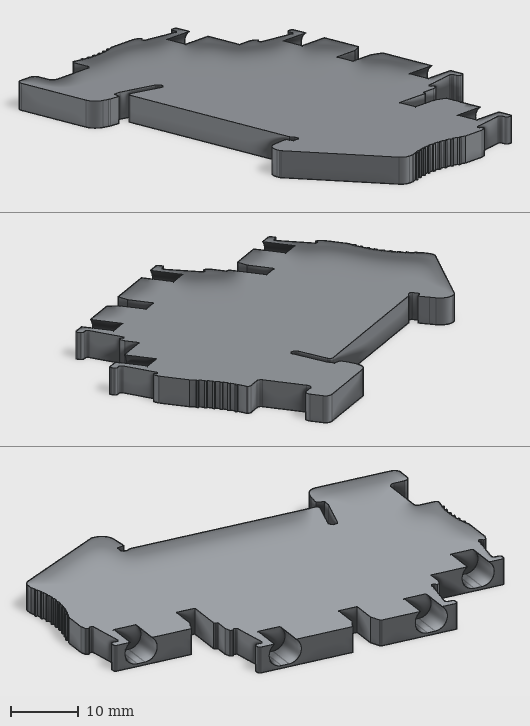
import cadquery as cq
import math

LENGTH = 67.6
HEIGHT = 45.8
THICKNESS = 4.2
SIDE_X = LENGTH / 2

LOWER_TIER_Y = 35.2
LOWER_TIER_X = -0.03
UPPER_TIER_X = -2.49
LOWER_GROOVE_OFFSET = 28.2
UPPER_GROOVE_OFFSET = 12.22
UPPER_SHOULDER = 17.83

HOOK_REACH = 4.45
HOOK_THICKNESS = 1.22
HOOK_OVERHANG = 1.45
HOOK_RADIUS = 0.4
LIP_SLOPE_RUN = 1.05
CREST_DROP = 7.2
CREST_WIDTH = 0.3
DIP_DROP = 7.6
DIP_WIDTH = 0.5
DIP_RADIUS = 0.2
SHOULDER_DROP = 8.3
SHOULDER_RADIUS = 0.2

NOTCH_WIDTH = 3.1
NOTCH_FLARE = 0.77
NOTCH_FLARE_DEPTH = 1.8
NOTCH_EDGE_RADIUS = 0.4
UPPER_NOTCH_X = -5.46
UPPER_NOTCH_FLOOR = 39.9
LOWER_NOTCH_X = 15.91
LOWER_NOTCH_FLOOR = 29.1
LEDGE_BEVEL = 0.25

GROOVE_OPENING = 3.6
GROOVE_FLOOR_WIDTH = 1.28
GROOVE_RADIUS = 2.05
GROOVE_LENGTH = 5.1

GRIP_Y = 17.2
GRIP_RADIUS = 15.0
RIGHT_GRIP_X = 32.57
LEFT_GRIP_X = -33.0
RIB_PITCH = 1.214
LEFT_RIB_SPAN = (-2, 3)
RIGHT_RIB_SPAN = (-4, 4)
RIB_WIDTH = 0.35
RIB_HEIGHT = 0.28
RIB_ROOT = 0.5

LEFT_STEP_Y = 12.6
LEFT_STEP_X = -33.56
STEP_RADIUS = 0.6
STEP_RISE = 2.5
LEG_X = -29.87
FOOT_TOP_Y = 4.05
FOOT_RADIUS = 1.0
LEFT_CATCH_X = -18.73
CATCH_Y = 4.95
SLOT_BEND_Y = 6.15
SLOT_TOP_Y = 12.67
SLOT_WIDTH = 1.45
SLOT_ANGLE = 16.0
SLOT_CAP_FULLNESS = 0.99

LEFT_TOE_X = -17.5
LEFT_TOE_BEND_X = -17.7
LEFT_TOE_BEND_Y = 2.6
LEFT_TOE_BOTTOM_X = -18.5
LEFT_TOE_BEND_RADIUS = 2.0
LEFT_TOE_BOTTOM_RADIUS = 2.1
RIGHT_TOE_X = 14.68
RIGHT_TOE_BEND_X = 14.82
RIGHT_TOE_BEND_Y = 2.9
RIGHT_TOE_BOTTOM_X = 15.05
RIGHT_TOE_BOTTOM_RADIUS = 2.1
LEFT_TOE_DROP = 0.45
RIGHT_TOE_DROP = 0.3

SEAT_Y = 6.0
SEAT_CORNER_RADIUS = 0.5
RIGHT_CATCH_X = 15.94
RELIEF_WIDTH = 0.9
RELIEF_HEIGHT = 0.35
RELIEF_RADIUS = 0.3
RELIEF_RUNOUT = 0.7
RAMP_BOTTOM_X = 17.6
RAMP_BOTTOM_RADIUS = 0.5
RAMP_TOP_Y = 9.45
RAMP_RADIUS = 1.6


def rounded_outline(corners):
    """Closed wire through (x, y, radius) corners, each rounded by a tangent arc."""
    wire = None
    for i, (x, y, radius) in enumerate(corners):
        corner = cq.Vector(x, y)
        before = cq.Vector(*corners[i - 1][:2])
        after = cq.Vector(*corners[(i + 1) % len(corners)][:2])
        to_before = (before - corner).normalized()
        to_after = (after - corner).normalized()
        half_angle = to_before.getAngle(to_after) / 2
        setback = radius / math.tan(half_angle)
        start = corner + to_before * setback
        if wire is None:
            wire = cq.Workplane("XY").moveTo(start.x, start.y)
        else:
            wire = wire.lineTo(start.x, start.y)
        if radius > 0:
            bisector = (to_before + to_after).normalized()
            middle = corner + bisector * (radius / math.sin(half_angle) - radius)
            end = corner + to_after * setback
            wire = wire.threePointArc((middle.x, middle.y), (end.x, end.y))
    return wire.close()


def hook_corners(centre_x, side, groove_offset, shoulder, top_y):
    """Corners of one hooked lip, from the shoulder wall up to the hook tip (side is -1 or 1)."""
    tip = groove_offset + HOOK_REACH
    root = tip - HOOK_OVERHANG
    foot = root + LIP_SLOPE_RUN
    half_profile = [
        (shoulder, SHOULDER_DROP, SHOULDER_RADIUS),
        (shoulder - CREST_WIDTH, (CREST_DROP + DIP_DROP) / 2, SHOULDER_RADIUS),
        (foot + DIP_WIDTH + CREST_WIDTH, CREST_DROP, 0),
        (foot + DIP_WIDTH, DIP_DROP, 0),
        (foot, DIP_DROP, DIP_RADIUS),
        (root, HOOK_THICKNESS, HOOK_RADIUS),
        (tip, HOOK_THICKNESS, HOOK_RADIUS),
        (tip, 0, HOOK_RADIUS),
    ]
    corners = [(centre_x + side * x, top_y - drop, radius) for x, drop, radius in half_profile]
    return corners if side < 0 else corners[::-1]


def slot_corners():
    """Corners of the slanted spring slot, from its left bend over the round end to the rail seat."""
    lean = math.tan(math.radians(SLOT_ANGLE))
    half_width = SLOT_WIDTH / 2 / math.cos(math.radians(SLOT_ANGLE))
    radius = SLOT_WIDTH / 2
    cap_radius = SLOT_CAP_FULLNESS * radius

    cap_x = LEFT_CATCH_X + half_width + (SLOT_TOP_Y - SLOT_BEND_Y) * lean
    across_x = radius * math.cos(math.radians(SLOT_ANGLE))
    across_y = radius * math.sin(math.radians(SLOT_ANGLE))
    seat_x = LEFT_CATCH_X + 2 * half_width - (SLOT_BEND_Y - SEAT_Y) * lean
    return [
        (LEFT_CATCH_X, SLOT_BEND_Y, 0),
        (cap_x - across_x, SLOT_TOP_Y + across_y, cap_radius),
        (cap_x + across_x, SLOT_TOP_Y - across_y, cap_radius),
        (seat_x, SEAT_Y, SEAT_CORNER_RADIUS),
    ]


def body():
    """Plate with the full terminal-block outline, before the grips and grooves."""
    lower_left_wall = SIDE_X + LOWER_TIER_X
    lower_right_wall = SIDE_X - LOWER_TIER_X
    upper_left = (UPPER_TIER_X, -1, UPPER_GROOVE_OFFSET, UPPER_SHOULDER, HEIGHT)
    upper_right = (UPPER_TIER_X, 1, UPPER_GROOVE_OFFSET, UPPER_SHOULDER, HEIGHT)
    lower_left = (LOWER_TIER_X, -1, LOWER_GROOVE_OFFSET, lower_left_wall, LOWER_TIER_Y)
    lower_right = (LOWER_TIER_X, 1, LOWER_GROOVE_OFFSET, lower_right_wall, LOWER_TIER_Y)
    upper_notch_end = UPPER_NOTCH_X + NOTCH_WIDTH
    lower_notch_end = LOWER_NOTCH_X + NOTCH_WIDTH
    relief_x = RIGHT_CATCH_X - RELIEF_WIDTH
    upper_wall_right = UPPER_TIER_X + UPPER_SHOULDER

    corners = [
        (LEFT_STEP_X, LEFT_STEP_Y, STEP_RADIUS),
        (-SIDE_X, LEFT_STEP_Y + STEP_RISE, 0),
        *hook_corners(*lower_left),
        (UPPER_TIER_X - UPPER_SHOULDER, LOWER_TIER_Y, 0),
        *hook_corners(*upper_left),
        (UPPER_NOTCH_X - NOTCH_FLARE, HEIGHT, NOTCH_EDGE_RADIUS),
        (UPPER_NOTCH_X, HEIGHT - NOTCH_FLARE_DEPTH, 0),
        (UPPER_NOTCH_X, UPPER_NOTCH_FLOOR, 0),
        (upper_notch_end, UPPER_NOTCH_FLOOR, 0),
        (upper_notch_end, HEIGHT - NOTCH_FLARE_DEPTH, 0),
        (upper_notch_end + NOTCH_FLARE, HEIGHT, 0),
        *hook_corners(*upper_right),
        (upper_wall_right, LOWER_TIER_Y, 0),
        (LOWER_NOTCH_X - LEDGE_BEVEL, LOWER_TIER_Y, 0),
        (LOWER_NOTCH_X, LOWER_TIER_Y - LEDGE_BEVEL, 0),
        (LOWER_NOTCH_X, LOWER_NOTCH_FLOOR, 0),
        (lower_notch_end, LOWER_NOTCH_FLOOR, 0),
        (lower_notch_end, LOWER_TIER_Y - NOTCH_FLARE_DEPTH, 0),
        (lower_notch_end + NOTCH_FLARE, LOWER_TIER_Y, 0),
        *hook_corners(*lower_right),
        (SIDE_X, RAMP_TOP_Y, RAMP_RADIUS),
        (RAMP_BOTTOM_X, 0, RAMP_BOTTOM_RADIUS),
        (RIGHT_TOE_BOTTOM_X, 0, RIGHT_TOE_BOTTOM_RADIUS),
        (RIGHT_TOE_BEND_X, RIGHT_TOE_BEND_Y, 0),
        (RIGHT_TOE_X, CATCH_Y - RIGHT_TOE_DROP, 0),
        (RIGHT_CATCH_X, CATCH_Y, 0),
        (RIGHT_CATCH_X, SEAT_Y + RELIEF_HEIGHT, RELIEF_RADIUS),
        (relief_x, SEAT_Y + RELIEF_HEIGHT, RELIEF_RADIUS),
        (relief_x - RELIEF_RUNOUT, SEAT_Y, 0),
        *slot_corners()[::-1],
        (LEFT_CATCH_X, CATCH_Y, 0),
        (LEFT_TOE_X, CATCH_Y - LEFT_TOE_DROP, 0),
        (LEFT_TOE_BEND_X, LEFT_TOE_BEND_Y, LEFT_TOE_BEND_RADIUS),
        (LEFT_TOE_BOTTOM_X, 0, LEFT_TOE_BOTTOM_RADIUS),
        (LEFT_STEP_X, 0, FOOT_RADIUS),
        (LEFT_STEP_X, FOOT_TOP_Y, FOOT_RADIUS),
        (LEG_X, FOOT_TOP_Y, FOOT_RADIUS),
        (LEG_X, LEFT_STEP_Y, STEP_RADIUS),
    ]
    return rounded_outline(corners).extrude(THICKNESS)


def grip_dish(grip_x, side):
    """Cylinder that hollows one end into a shallow finger grip."""
    axis_x = grip_x + side * GRIP_RADIUS
    return cq.Workplane("XY").center(axis_x, GRIP_Y).circle(GRIP_RADIUS).extrude(THICKNESS)


def grip_ribs(grip_x, side, first, last):
    """Ribs standing on the dish, counted upwards from its middle."""
    ribs = cq.Workplane("XY")
    for index in range(first, last + 1):
        rise = index * RIB_PITCH
        base_x = grip_x + side * (GRIP_RADIUS - math.sqrt(GRIP_RADIUS**2 - rise**2))
        centre_x = base_x + side * (RIB_HEIGHT - RIB_ROOT) / 2
        rib = (
            cq.Workplane("XY")
            .center(centre_x, GRIP_Y + rise)
            .rect(RIB_HEIGHT + RIB_ROOT, RIB_WIDTH)
            .extrude(THICKNESS)
        )
        ribs = ribs.add(rib)
    return ribs.combine()


def marker_groove(centre_x, top_y):
    """Round-sided, flat-floored groove open to the front face and to the tier top."""
    half_opening = GROOVE_OPENING / 2
    half_floor = GROOVE_FLOOR_WIDTH / 2
    overhang = half_opening - half_floor
    axis_z = THICKNESS - math.sqrt(GROOVE_RADIUS**2 - overhang**2)
    floor_z = axis_z - GROOVE_RADIUS
    widest = half_floor + GROOVE_RADIUS
    return (
        cq.Workplane("XZ", origin=(centre_x, top_y, 0))
        .moveTo(-half_opening, THICKNESS)
        .threePointArc((-widest, axis_z), (-half_floor, floor_z))
        .lineTo(half_floor, floor_z)
        .threePointArc((widest, axis_z), (half_opening, THICKNESS))
        .close()
        .extrude(GROOVE_LENGTH)
    )


result = body()
result = result.cut(grip_dish(LEFT_GRIP_X, -1)).cut(grip_dish(RIGHT_GRIP_X, 1))
result = result.union(grip_ribs(LEFT_GRIP_X, -1, *LEFT_RIB_SPAN))
result = result.union(grip_ribs(RIGHT_GRIP_X, 1, *RIGHT_RIB_SPAN))
for side in (-1, 1):
    result = result.cut(marker_groove(UPPER_TIER_X + side * UPPER_GROOVE_OFFSET, HEIGHT))
    result = result.cut(marker_groove(LOWER_TIER_X + side * LOWER_GROOVE_OFFSET, LOWER_TIER_Y))